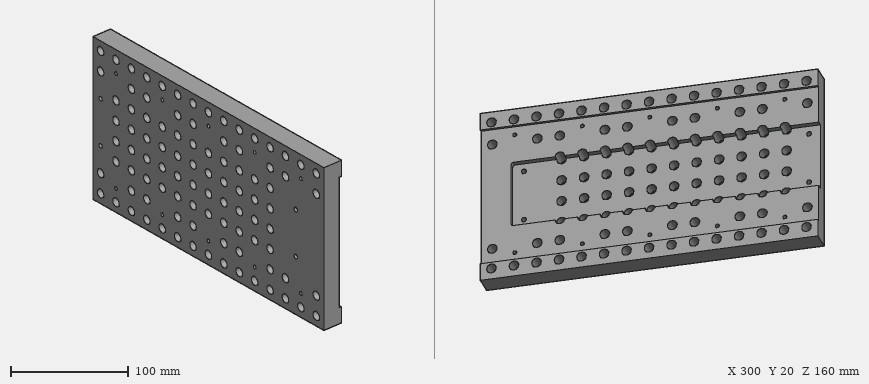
import cadquery as cq

length = 300.0
grid_columns = 15
grid_rows = 8
grid_pitch = length / grid_columns
grid_hole_diameter = 8.5

height = grid_rows * grid_pitch
thickness = grid_pitch
back_y = thickness / 2

rail_height = 16.0
channel_depth = 2.5
channel_height = height - 2 * rail_height
channel_floor_y = back_y - channel_depth

pocket_height = 60.5
pocket_depth = 5.5
pocket_corner_diameter = 5.0

small_hole_diameter = 3.3
small_hole_columns = range(1, grid_columns, 3)
small_hole_z = 56.5

mount_hole_diameter = 4.2
mount_edge_margin = grid_pitch / 2
mount_left_x = -length / 2 + mount_edge_margin
mount_right_x = 113.5
mount_hole_z = 23.0

pocket_end_x = mount_right_x + mount_edge_margin
pocket_length = pocket_end_x + length / 2

middle_first_column = 1
middle_last_column = 11


def column_x(column):
    return (column - (grid_columns - 1) / 2) * grid_pitch


def row_z(row):
    return (row - (grid_rows - 1) / 2) * grid_pitch


def has_grid_hole(column, row):
    rows_from_edge = min(row, grid_rows - 1 - row)
    if rows_from_edge == 0:
        return True
    if rows_from_edge == 1:
        return column not in small_hole_columns
    return middle_first_column <= column <= middle_last_column


def mirrored_points(x_positions, z):
    """Points (x, z) above and below the middle of the plate."""
    return [(x, side * z) for x in x_positions for side in (-1, 1)]


def through_holes(points, diameter):
    """Cylinders along Y through the whole plate at the given (x, z) points."""
    return (
        cq.Workplane("XZ", origin=(0, back_y, 0))
        .pushPoints(points)
        .circle(diameter / 2)
        .extrude(thickness)
    )


plate = cq.Workplane("XY").box(length, thickness, height)

channel = (
    cq.Workplane("XY")
    .box(length, channel_depth, channel_height)
    .translate((0, back_y - channel_depth / 2, 0))
)

pocket = (
    cq.Workplane("XY")
    .box(pocket_length, pocket_depth, pocket_height)
    .edges("|Y and >X")
    .fillet(pocket_corner_diameter / 2)
    .translate((pocket_end_x - pocket_length / 2, channel_floor_y - pocket_depth / 2, 0))
)

grid_points = [
    (column_x(column), row_z(row))
    for column in range(grid_columns)
    for row in range(grid_rows)
    if has_grid_hole(column, row)
]
small_points = mirrored_points([column_x(column) for column in small_hole_columns], small_hole_z)
mount_points = mirrored_points([mount_left_x, mount_right_x], mount_hole_z)

result = (
    plate.cut(channel)
    .cut(pocket)
    .cut(through_holes(grid_points, grid_hole_diameter))
    .cut(through_holes(small_points, small_hole_diameter))
    .cut(through_holes(mount_points, mount_hole_diameter))
)